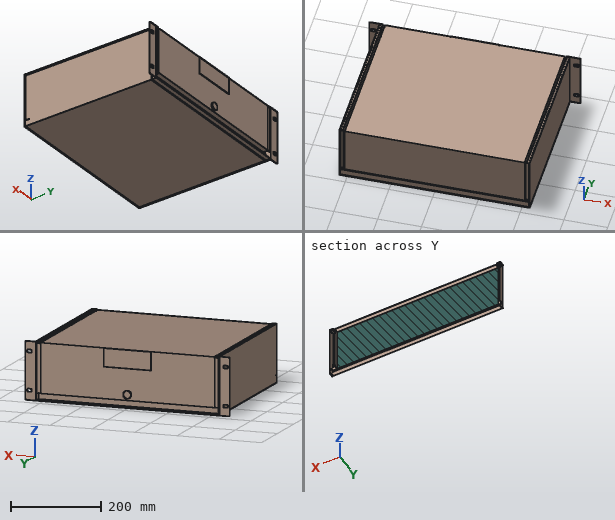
import cadquery as cq

height = 134.0
ear_span = 483.5
chassis_width = 435.0
wall_sheet = 2.5
floor_sheet = 1.5
ear_sheet = 1.5
back_y = 360.0
lip_height = 19.0
lip_flange_depth = 12.0
support_bar_y = 344.0
support_bar_width = 3.0
top_flange = 7.2
front_flange = 9.0
front_flange_bottom = 22.0

ear_corner_radius = 3.0
slot_spacing_x = 464.0
slot_spacing_z = 89.0
slot_length = 11.0
slot_height = 7.0

drawer_width = 411.0
drawer_bottom = 17.5
drawer_top = 132.5
panel_clearance = 0.5
panel_top = 130.5
panel_thickness = 1.5

plate_width = 111.5
plate_bottom = 90.0
plate_top = 132.0
plate_thickness = 1.5
lock_diameter = 18.5
lock_z = 31.0
lock_length = 3.5

inner_width = chassis_width - 2 * wall_sheet


def block(x_min, x_max, y_min, y_max, z_min, z_max):
    """Axis-aligned box given by its limits."""
    size = (x_max - x_min, y_max - y_min, z_max - z_min)
    return cq.Workplane("XY").box(*size, centered=False).translate((x_min, y_min, z_min))


def centered_block(width, y_min, y_max, z_min, z_max):
    """Box centred on x = 0."""
    return block(-width / 2, width / 2, y_min, y_max, z_min, z_max)


def make_floor():
    """Floor with its folded-up front lip and the two supports that carry the drawer."""
    floor = centered_block(chassis_width, 0, back_y, 0, floor_sheet)
    lip = centered_block(inner_width, 0, floor_sheet, 0, lip_height)
    flange_bottom = drawer_bottom - floor_sheet
    lip_flange = centered_block(inner_width, 0, lip_flange_depth, flange_bottom, drawer_bottom)
    bar_end_y = support_bar_y + support_bar_width
    support_bar = centered_block(inner_width, support_bar_y, bar_end_y, 0, drawer_bottom)
    return floor.union(lip).union(lip_flange).union(support_bar)


def make_side():
    """Side wall at +X with its top and front flanges."""
    outer = chassis_width / 2
    wall = block(outer - wall_sheet, outer, 0, back_y, 0, height)
    top = block(outer - top_flange, outer, 0, back_y, height - wall_sheet, height)
    front = block(outer - front_flange, outer, 0, wall_sheet, front_flange_bottom, height)
    return wall.union(top).union(front)


def make_ear():
    """Slotted mounting ear at +X."""
    inner = chassis_width / 2 - wall_sheet
    ear = block(inner, ear_span / 2, back_y - ear_sheet, back_y, 0, height)
    ear = ear.edges("|Y and >X").fillet(ear_corner_radius)
    slots = (
        cq.Workplane("XZ", origin=(slot_spacing_x / 2, back_y, height / 2))
        .rarray(5, slot_spacing_z, 1, 2)
        .slot2D(slot_length, slot_height)
        .extrude(ear_sheet)
    )
    return ear.cut(slots)


def make_chassis():
    side = make_side().union(make_ear())
    return make_floor().union(side).union(side.mirror("YZ"))


def make_drawer():
    """Closed drawer with a wider rear panel that carries the name plate and the lock."""
    body = centered_block(drawer_width, floor_sheet, back_y, drawer_bottom, drawer_top)
    panel_width = inner_width - 2 * panel_clearance
    panel = centered_block(panel_width, back_y - panel_thickness, back_y, drawer_bottom, panel_top)
    plate = centered_block(plate_width, back_y, back_y + plate_thickness, plate_bottom, plate_top)
    lock = (
        cq.Workplane("XZ", origin=(0, back_y, lock_z))
        .circle(lock_diameter / 2)
        .extrude(-lock_length)
    )
    return body.union(panel).union(plate).union(lock)


chassis = make_chassis()
drawer = make_drawer()

result = cq.Compound.makeCompound([chassis.val(), drawer.val()])